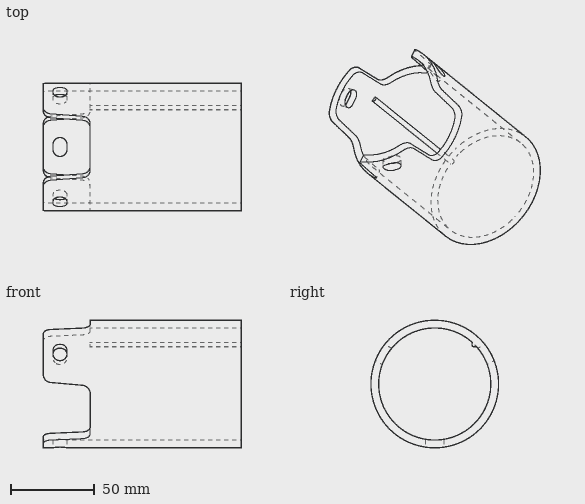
import cadquery as cq
import math

length = 118.0
outer_radius = 38.05
wall = 4.7
inner_radius = outer_radius - wall

tab_count = 3
tab_pitch = 360 / tab_count
gap_angle = tab_pitch / 2
tab_length = 28.0
flank_taper = 5.0
corner_radius = 5.0

slot_x = 10.0
slot_width = 8.1
slot_length = 11.2

rib_radius = 1.5
rib_angle = 45.0
rib_start = tab_length

reach = 1.25 * outer_radius


def rotate_about_axis(shape, angle):
    return shape.rotate((0, 0, 0), (1, 0, 0), angle)


def flank_cutter():
    """Gap side of one tapered, rounded tab flank, swept along +Z."""
    taper = math.radians(flank_taper)
    flank_rise = tab_length / 2 * math.tan(taper)
    turn = math.pi / 2 - taper
    tangent = corner_radius * math.tan(turn / 2)
    tangent_x = tangent * math.cos(taper)
    tangent_y = tangent * math.sin(taper)
    to_arc = corner_radius * (1 / math.cos(turn / 2) - 1)
    bisector = (math.pi / 2 - taper) / 2
    arc_x = to_arc * math.cos(bisector)
    arc_y = to_arc * math.sin(bisector)

    return (
        cq.Workplane("XY")
        .moveTo(0, flank_rise + tangent)
        .threePointArc((arc_x, flank_rise + arc_y), (tangent_x, flank_rise - tangent_y))
        .lineTo(tab_length - tangent_x, tangent_y - flank_rise)
        .threePointArc(
            (tab_length - arc_x, -flank_rise - arc_y),
            (tab_length, -flank_rise - tangent),
        )
        .lineTo(tab_length, -reach)
        .lineTo(0, -reach)
        .close()
        .extrude(reach)
    )


def gap_cutter():
    """Gap centred on +Z, bounded by a flank on each side."""
    flank = rotate_about_axis(flank_cutter(), -gap_angle / 2)
    return flank.intersect(flank.mirror("XZ"))


def slot_cutter():
    """Radial slot through the wall on the -Z side."""
    return (
        cq.Workplane("XY")
        .center(slot_x, 0)
        .slot2D(slot_length, slot_width, 90)
        .extrude(-reach)
    )


def inner_rib():
    """Half-round rib running from the tab roots to the far end."""
    angle = math.radians(rib_angle)
    rib = (
        cq.Workplane("YZ", origin=(rib_start, 0, 0))
        .center(inner_radius * math.cos(angle), inner_radius * math.sin(angle))
        .circle(rib_radius)
        .extrude(length - rib_start)
    )
    return rib


result = cq.Workplane("YZ").circle(outer_radius).circle(inner_radius).extrude(length)

for index in range(tab_count):
    angle = index * tab_pitch
    result = result.cut(rotate_about_axis(gap_cutter(), angle))
    result = result.cut(rotate_about_axis(slot_cutter(), angle))

result = result.union(inner_rib())